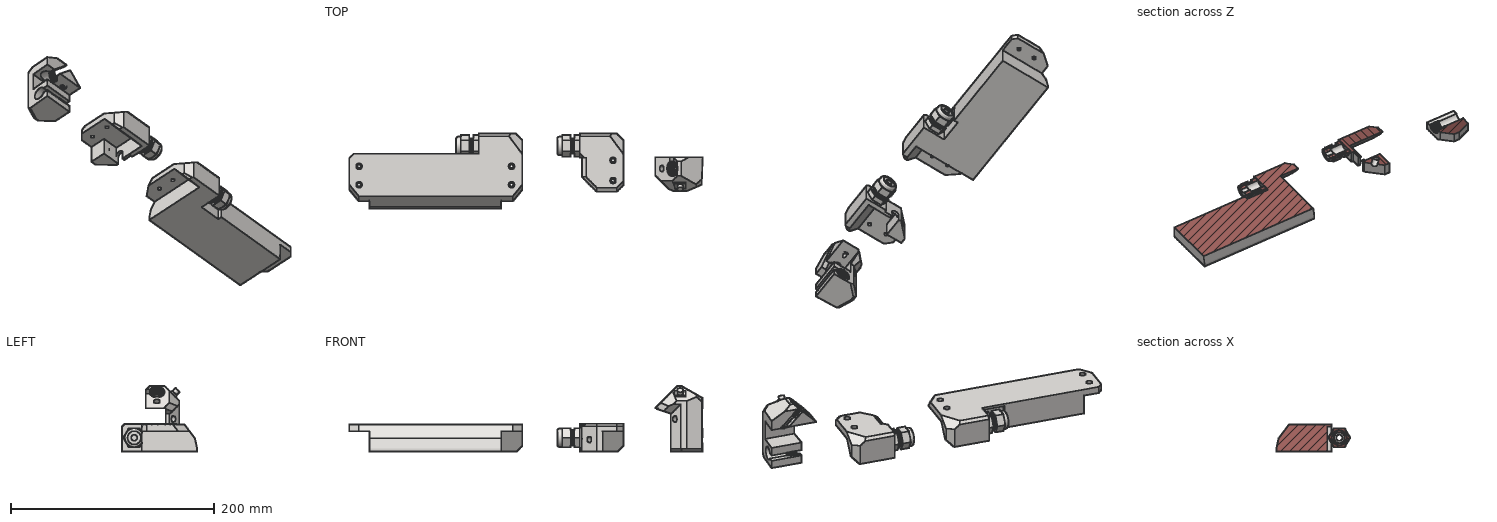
import cadquery as cq
import math

SMALL = 0.05
FAR = 522.2

SCREW_HOLE = 3.4
SCREW_HEAD = 6.0
HEAD_DEPTH = 3.5
HOLE_DEPTH = 28.0

LONG_TOP = 26.8
PLATE_BOTTOM = 20.0
BACK_Y = 74.0

BLOCK_LENGTH = 43.0
BLOCK_FRONT_Y = 54.3
BLOCK_CORNER = 6.5
BLOCK_BOTTOM_Y = 68.2
BLOCK_BACK_CHAMFER = 2.8
BLOCK_BOTTOM_CORNER = 5.5
FACET_X = 13.2
FACET_Y = 17.8
FACET_INSET_Y = 2.8

LONG_LENGTH = 170.5
LONG_FRONT_Y = 7.3
LONG_SHOULDER_Y = 12.5
LONG_CORNER = 4.5
FRONT_CORNER_X = 9.5
FRONT_CORNER_Y = 11.5
BOX_START_X = 20.0
BOX_END_X = 149.7
KNEE_Z = 13.0
TOE_Z = 3.0
LONG_HOLE_INSET = 9.7
LONG_HOLE_END_INSET = 10.8
LONG_HOLE_Y = (23.5, 41.8)
GLAND_POCKET_Y = 50.0
GLAND_POCKET_TOP = 24.5
GLAND_POCKET_LENGTH = 23.5

ELBOW_SHIFT = 99.5
ELBOW_TOP = 27.5
ELBOW_FRONT_Y = 16.7
ELBOW_SIDE_X = 229.0
ELBOW_NECK_Y = 50.5
ELBOW_BEND_Y = 31.5
ELBOW_FLAT_X = ELBOW_SIDE_X + ELBOW_BEND_Y - ELBOW_FRONT_Y
ELBOW_CORNER = 6.5
ELBOW_EDGE_DROP = 2.8
ELBOW_EDGE_INSET = 4.2
ELBOW_OPEN_X = 249.5
ELBOW_HOLE_X = 259.7
ELBOW_HOLE_Y = (28.0, 47.7)
SIDE_HOLE_Z = 12.0
SIDE_HOLE_DEPTH = 9.7
ELBOW_WALL = 2.8
WINDOW_WIDTH = 8.0
WINDOW_TOP = 12.5
WINDOW_Y = 38.0

GLAND_Y = 62.0
GLAND_Z = 13.5
GLAND_FLATS = 18.8
GLAND_LENGTH = 22.3
BASE_LENGTH = 5.2
NUT_START = 9.0
NUT_HEX_END = 17.5
SEAL_START = 14.3
SEAL_SINK = 0.7
COLLAR = 15.3
COLLAR_ROOT = 14.0
COLLAR_PITCH = 1.5
COLLAR_GROOVES = 2
BODY_BORE = 10.5
DOME = 18.5
DOME_ROUND = 2.5
MOUTH = 13.2
SEAL_BORE = 6.0

POST_X = 316.5
POST_BACK_Y = 31.0
BRACKET_END_X = 348.0
BRACKET_FRONT_END_X = 347.0
BRACKET_END_Y = 23.5
BRACKET_FRONT_Y = 17.5
BRACKET_BACK_Y = 51.0
POST_FACET_START_Y = 27.5
POST_FLAT_START_X = POST_X + POST_FACET_START_Y - BRACKET_FRONT_Y
POST_FLAT_END_X = 332.5
FOOT_CHAMFER = 2.8
FOOT_TOP = 22.5
CLAMP_BOTTOM = 42.5
GUSSET_BOTTOM = 37.2
BRACKET_TOP = 64.8
CLAMP_START_X = 301.0
RIDGE_START_X = 323.0
RIDGE_END_X = 327.0
ROOF_END_Z = 52.5
ROOF_CORNER = (341.0, 22.5, 55.7)
ROOF_CORNER_NORMAL = (1.0, -0.6, 0.8)
CLAMP_SIDE_Y = 33.0
CLAMP_CHAMFER_Y = 27.5
RIDGE_FRONT_Y = 32.5
RIDGE_BACK_Y = 46.5
GUSSET_FRONT_Y = 21.5
CABLE_HOLE = 13.2
CABLE_SLIT = 6.0
GRIP_GROOVE = 15.3
GRIP_PITCH = 2.0
GRIP_GROOVES = 5
CABLE_Y = 39.7
CLAMP_CABLE_Z = 59.2
CLAMP_CABLE_DEPTH = 33.0
FOOT_CABLE_Z = 11.0
CLAMP_SCREW_Z = 49.5
BRACKET_HEAD_DEPTH = 7.0
POST_SCREW_X = 320.5
POST_SCREW_Z = 32.0

STUD_X = 326.0
STUD_Y = 23.5
STUD_SHANK = 5.2
STUD_BAR = (10.8, 6.5, 2.0)
STUD_HEAD_LENGTH = 4.2


def box(x, y, z):
    """Box between the given (low, high) pairs."""
    size = (x[1] - x[0], y[1] - y[0], z[1] - z[0])
    return cq.Workplane("XY").box(*size, centered=False).translate((x[0], y[0], z[0]))


def prism(outline, bottom, top):
    """Upright prism over a plan outline."""
    return cq.Workplane("XY").workplane(offset=bottom).polyline(outline).close().extrude(top - bottom)


def beyond(point, outward):
    """Large block that fills the outer side of a plane."""
    plane = cq.Plane(origin=point, normal=outward)
    return cq.Workplane(plane).rect(2 * FAR, 2 * FAR).extrude(FAR)


def rod(point, direction, diameter, length):
    """Cylinder that starts at a point."""
    plane = cq.Plane(origin=point, normal=direction)
    return cq.Workplane(plane).circle(diameter / 2).extrude(length)


def screw_hole(point, inward, head_depth):
    """Through hole with a recess for the screw head, to cut away."""
    return rod(point, inward, SCREW_HOLE, HOLE_DEPTH).union(rod(point, inward, SCREW_HEAD, head_depth))


def cut_plate_holes(part, x, hole_ys, top):
    for y in hole_ys:
        part = part.cut(screw_hole((x, y, top), (0, 0, -1), HEAD_DEPTH))
    return part


def trim_gland_block(part, end_x, top):
    """Bevel the edges and corners of a gland block that ends at end_x."""
    part = part.cut(beyond((end_x, BACK_Y - BLOCK_CORNER, 0), (1, 1, 0)))
    part = part.cut(beyond((end_x, BACK_Y - BLOCK_BACK_CHAMFER, top), (0, 1, 1)))
    facet_start = (end_x - FACET_X, BACK_Y - FACET_INSET_Y, top)
    part = part.cut(beyond(facet_start, (FACET_Y, FACET_X, math.hypot(FACET_X, FACET_Y))))
    bottom_corner = beyond((end_x - BLOCK_BOTTOM_CORNER, 0, 0), (1, 0, -1))
    return part.cut(bottom_corner)


def open_space(start_x, end_x, front_y):
    """Open space below a plate, with a gland block sloping over it at the back."""
    profile = [
        (front_y, 0),
        (front_y, PLATE_BOTTOM),
        (BLOCK_FRONT_Y, PLATE_BOTTOM),
        (BLOCK_BOTTOM_Y, 0),
    ]
    space = cq.Workplane("YZ").polyline(profile).close().extrude(end_x - start_x)
    return space.translate((start_x, 0, 0))


def make_long_housing():
    slope = (LONG_SHOULDER_Y - LONG_FRONT_Y) / (LONG_TOP - PLATE_BOTTOM)
    block_start_x = LONG_LENGTH - BLOCK_LENGTH
    plate = prism(
        [
            (0, 0),
            (LONG_LENGTH, 0),
            (LONG_LENGTH, BLOCK_FRONT_Y),
            (LONG_CORNER, BLOCK_FRONT_Y),
            (0, BLOCK_FRONT_Y - LONG_CORNER),
        ],
        PLATE_BOTTOM,
        LONG_TOP,
    )
    plate = plate.cut(beyond((0, LONG_SHOULDER_Y, LONG_TOP), (0, -1, slope)))
    rise = slope * FRONT_CORNER_X
    for x, side in ((FRONT_CORNER_X, -1), (LONG_LENGTH - FRONT_CORNER_X, 1)):
        outward = (side * FRONT_CORNER_Y, -FRONT_CORNER_X, rise)
        plate = plate.cut(beyond((x, LONG_SHOULDER_Y, LONG_TOP), outward))
    profile = [
        (0, 0),
        (0, TOE_Z),
        (LONG_FRONT_Y - slope * (PLATE_BOTTOM - KNEE_Z), KNEE_Z),
        (LONG_SHOULDER_Y, LONG_TOP),
        (BLOCK_FRONT_Y, LONG_TOP),
        (BLOCK_FRONT_Y, 0),
    ]
    trough = cq.Workplane("YZ").polyline(profile).close().extrude(BOX_END_X - BOX_START_X)
    trough = trough.translate((BOX_START_X, 0, 0))
    block = box((block_start_x, LONG_LENGTH), (BLOCK_FRONT_Y, BACK_Y), (0, LONG_TOP))
    housing = plate.union(trough).union(trim_gland_block(block, LONG_LENGTH, LONG_TOP))
    housing = housing.cut(open_space(BOX_END_X, LONG_LENGTH, 0))
    pocket_xs = (block_start_x - GLAND_POCKET_LENGTH, block_start_x)
    housing = housing.cut(box(pocket_xs, (GLAND_POCKET_Y, BLOCK_FRONT_Y), (0, GLAND_POCKET_TOP)))
    housing = cut_plate_holes(housing, LONG_HOLE_INSET, LONG_HOLE_Y, LONG_TOP)
    return cut_plate_holes(housing, LONG_LENGTH - LONG_HOLE_END_INSET, LONG_HOLE_Y, LONG_TOP)


def make_elbow_housing():
    start_x = LONG_LENGTH - BLOCK_LENGTH + ELBOW_SHIFT
    end_x = LONG_LENGTH + ELBOW_SHIFT
    outline = [
        (start_x, BACK_Y),
        (start_x, ELBOW_NECK_Y),
        (ELBOW_SIDE_X, ELBOW_NECK_Y),
        (ELBOW_SIDE_X, ELBOW_BEND_Y),
        (ELBOW_FLAT_X, ELBOW_FRONT_Y),
        (end_x - ELBOW_CORNER, ELBOW_FRONT_Y),
        (end_x, ELBOW_FRONT_Y + ELBOW_CORNER),
        (end_x, BACK_Y),
    ]
    housing = prism(outline, 0, ELBOW_TOP)
    lean = ELBOW_EDGE_INSET / ELBOW_EDGE_DROP
    bevel_z = ELBOW_TOP - ELBOW_EDGE_DROP
    neck = (start_x, ELBOW_NECK_Y + ELBOW_EDGE_INSET, ELBOW_TOP)
    beveled_sides = (
        ((ELBOW_SIDE_X, ELBOW_BEND_Y, bevel_z), (-1, 0, lean)),
        ((ELBOW_FLAT_X, ELBOW_FRONT_Y, bevel_z), (-1, -1, lean)),
        ((ELBOW_FLAT_X, ELBOW_FRONT_Y, bevel_z), (0, -1, lean)),
        ((end_x, ELBOW_FRONT_Y + ELBOW_CORNER, bevel_z), (1, -1, lean)),
    )
    neck_part = box((start_x, end_x), (ELBOW_NECK_Y, BACK_Y), (0, ELBOW_TOP))
    neck_part = neck_part.cut(beyond(neck, (-1, -1, lean)))
    front_part = housing.intersect(box((0, end_x), (0, ELBOW_NECK_Y), (0, ELBOW_TOP)))
    for point, outward in beveled_sides:
        front_part = front_part.cut(beyond(point, outward))
    housing = trim_gland_block(front_part.union(neck_part), end_x, ELBOW_TOP)
    housing = housing.cut(open_space(ELBOW_OPEN_X, end_x, 0))
    chamber_front_y = WINDOW_Y - WINDOW_WIDTH / 2
    housing = housing.cut(open_space(ELBOW_SIDE_X + ELBOW_WALL, ELBOW_OPEN_X, chamber_front_y))
    arch_z = WINDOW_TOP - WINDOW_WIDTH / 2
    window_ys = (chamber_front_y, chamber_front_y + WINDOW_WIDTH)
    housing = housing.cut(box((ELBOW_SIDE_X, ELBOW_OPEN_X), window_ys, (0, arch_z)))
    housing = housing.cut(rod((ELBOW_SIDE_X, WINDOW_Y, arch_z), (1, 0, 0), WINDOW_WIDTH, ELBOW_WALL))
    bend = ((ELBOW_SIDE_X + ELBOW_FLAT_X) / 2, (ELBOW_BEND_Y + ELBOW_FRONT_Y) / 2, SIDE_HOLE_Z)
    housing = housing.cut(rod(bend, (1, 1, 0), SCREW_HEAD, SIDE_HOLE_DEPTH))
    return cut_plate_holes(housing, ELBOW_HOLE_X, ELBOW_HOLE_Y, ELBOW_TOP)


def gland_rod(diameter, start, end):
    return rod((-start, 0, 0), (-1, 0, 0), diameter, end - start)


def gland_hex(start, end):
    """Hexagonal section with flats facing up and down."""
    plane = cq.Plane(origin=(-start, 0, 0), xDir=(0, 1, 0), normal=(-1, 0, 0))
    corners = GLAND_FLATS / math.cos(math.pi / 6)
    return cq.Workplane(plane).polygon(6, corners).extrude(end - start)


def make_gland_body():
    body = gland_hex(0, BASE_LENGTH).union(gland_rod(COLLAR, BASE_LENGTH, SEAL_START))
    groove_width = COLLAR_PITCH / 2
    for number in range(COLLAR_GROOVES):
        start = BASE_LENGTH + groove_width + number * COLLAR_PITCH
        ring = gland_rod(COLLAR, start, start + groove_width)
        body = body.cut(ring.cut(gland_rod(COLLAR_ROOT, start, start + groove_width)))
    return body.cut(gland_rod(BODY_BORE, 0, SEAL_START))


def make_gland_nut():
    dome = gland_rod(DOME, NUT_HEX_END, GLAND_LENGTH).faces("<X").edges().fillet(DOME_ROUND)
    nut = gland_hex(NUT_START, NUT_HEX_END).union(dome)
    return nut.cut(gland_rod(COLLAR, NUT_START, SEAL_START)).cut(gland_rod(MOUTH, SEAL_START, GLAND_LENGTH))


def make_gland_seal():
    seal_end = GLAND_LENGTH - SEAL_SINK
    return gland_rod(MOUTH, SEAL_START, seal_end).cut(gland_rod(SEAL_BORE, SEAL_START, seal_end))


def cable_cut(point, direction, depth):
    """Cable hole with ring grooves for grip, and a narrow slit that opens at the back."""
    plane = cq.Plane(origin=point, xDir=(0, 1, 0), normal=direction)
    hole = cq.Workplane(plane).circle(CABLE_HOLE / 2).extrude(depth)
    slit = cq.Workplane(plane).center(FAR / 2, 0).rect(FAR, CABLE_SLIT).extrude(depth)
    for number in range(GRIP_GROOVES):
        ring_plane = cq.Workplane(plane).workplane(offset=(number + 0.5) * GRIP_PITCH)
        hole = hole.union(ring_plane.circle(GRIP_GROOVE / 2).extrude(GRIP_PITCH / 2))
    return hole.union(slit)


def make_bracket():
    clamp_rise = BRACKET_TOP - RIDGE_START_X
    roof_fall = (BRACKET_TOP - ROOF_END_Z) / (BRACKET_END_X - RIDGE_END_X)
    tilt = math.sqrt(2)

    plan = [
        (POST_X, BRACKET_BACK_Y),
        (POST_X, POST_FACET_START_Y),
        (POST_FLAT_START_X, BRACKET_FRONT_Y),
        (POST_FLAT_END_X, BRACKET_FRONT_Y),
        (BRACKET_FRONT_END_X, BRACKET_END_Y),
        (BRACKET_END_X, BRACKET_BACK_Y),
    ]
    post = prism(plan, 0, BRACKET_TOP)
    post = post.cut(box((0, BRACKET_END_X), (POST_BACK_Y, BRACKET_BACK_Y), (FOOT_TOP, CLAMP_BOTTOM)))
    foot_low = (POST_X + SMALL, 0, -SMALL)
    foot_high = (BRACKET_END_X, POST_FACET_START_Y, SMALL)
    foot_edges = cq.selectors.BoxSelector(foot_low, foot_high)
    post = post.edges(foot_edges).chamfer(FOOT_CHAMFER)

    head_plan = [(CLAMP_START_X, BRACKET_BACK_Y), (CLAMP_START_X, BRACKET_FRONT_Y)] + plan[3:]
    head = prism(head_plan, GUSSET_BOTTOM, BRACKET_TOP)
    head = head.cut(box((0, BRACKET_END_X), (POST_BACK_Y, BRACKET_BACK_Y), (GUSSET_BOTTOM, CLAMP_BOTTOM)))
    clamp_tip_x = CLAMP_BOTTOM - clamp_rise
    gusset_fall = (CLAMP_BOTTOM - GUSSET_BOTTOM) / (POST_X - clamp_tip_x)
    head = head.cut(beyond((clamp_tip_x, 0, CLAMP_BOTTOM), (-gusset_fall, 0, -1)))
    head = head.cut(beyond((clamp_tip_x, CLAMP_SIDE_Y, 0), (-1, -1, 0)))
    head = head.cut(beyond((0, GUSSET_FRONT_Y, CLAMP_BOTTOM), (0, -1, -1)))

    roof_planes = (
        ((RIDGE_START_X, 0, BRACKET_TOP), (-1, 0, 1)),
        ((RIDGE_END_X, 0, BRACKET_TOP), (roof_fall, 0, 1)),
        ((0, RIDGE_FRONT_Y, BRACKET_TOP), (0, -1, 1)),
        ((0, RIDGE_BACK_Y, BRACKET_TOP), (0, 1, 1)),
        (ROOF_CORNER, ROOF_CORNER_NORMAL),
        ((RIDGE_START_X, CLAMP_CHAMFER_Y, BRACKET_TOP), (-1, -tilt, 1)),
    )
    bracket = post.union(head)
    for point, outward in roof_planes:
        bracket = bracket.cut(beyond(point, outward))

    clamp_cable = (CLAMP_CABLE_Z - clamp_rise, CABLE_Y, CLAMP_CABLE_Z)
    bracket = bracket.cut(cable_cut(clamp_cable, (1, 0, -1), CLAMP_CABLE_DEPTH))
    bracket = bracket.cut(cable_cut((POST_X, CABLE_Y, FOOT_CABLE_Z), (1, 0, 0), FAR))
    clamp_screw = (CLAMP_SCREW_Z - clamp_rise, CABLE_Y, CLAMP_SCREW_Z)
    bracket = bracket.cut(screw_hole(clamp_screw, (1, 0, -1), BRACKET_HEAD_DEPTH))
    post_screw = (POST_SCREW_X, POST_FACET_START_Y + POST_X - POST_SCREW_X, POST_SCREW_Z)
    bracket = bracket.cut(screw_hole(post_screw, (1, 1, 0), BRACKET_HEAD_DEPTH))
    return bracket.cut(rod(stud_seat(), (0, 1, -1), SCREW_HOLE, STUD_SHANK))


def stud_seat():
    return (STUD_X, STUD_Y, BRACKET_TOP - RIDGE_FRONT_Y + STUD_Y)


def make_stud():
    plane = cq.Plane(origin=stud_seat(), xDir=(1, 0, 0), normal=(0, -1, 1))
    width, depth, thickness = STUD_BAR
    bar = cq.Workplane(plane).rect(width, depth).extrude(thickness)
    head = cq.Workplane(plane).circle(SCREW_HEAD / 2).extrude(thickness + STUD_HEAD_LENGTH)
    return bar.union(head).union(rod(stud_seat(), (0, 1, -1), SCREW_HOLE, STUD_SHANK))


long_housing = make_long_housing()
elbow_housing = make_elbow_housing()
bracket = make_bracket()
stud = make_stud()

gland_parts = []
for shift in (0, ELBOW_SHIFT):
    gland_place = (LONG_LENGTH - BLOCK_LENGTH + shift, GLAND_Y, GLAND_Z)
    for make_part in (make_gland_body, make_gland_nut, make_gland_seal):
        gland_parts.append(make_part().translate(gland_place).val())

result = cq.Compound.makeCompound(
    [long_housing.val(), elbow_housing.val(), bracket.val(), stud.val(), *gland_parts]
)